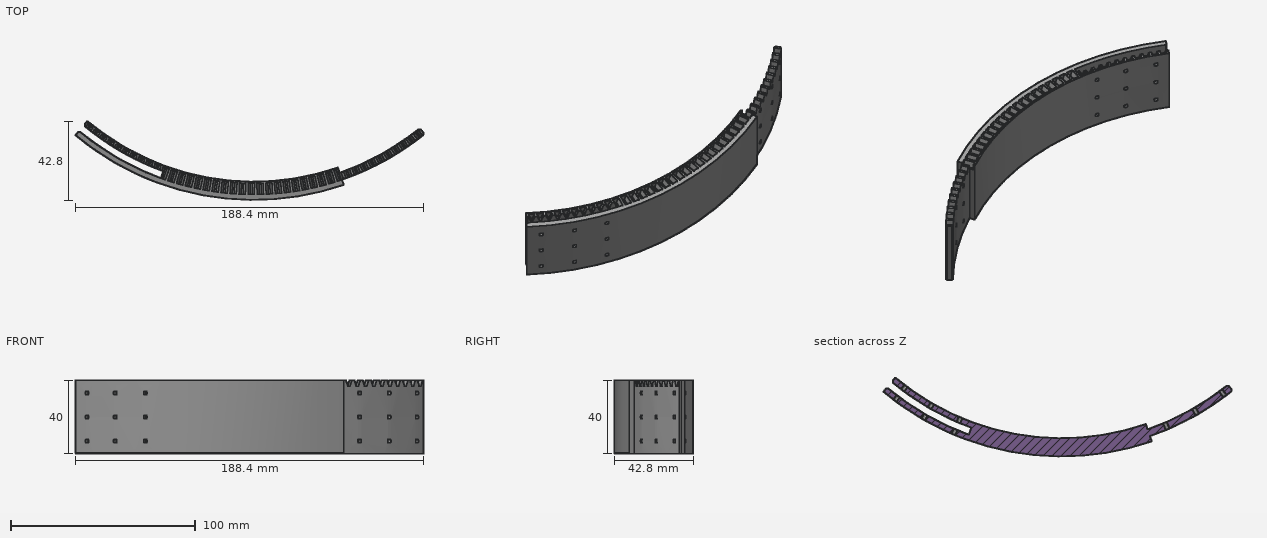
import cadquery as cq
import math

height = 40.0
outer_radius = 150.0
plate_thickness = 3.0
tongue_thickness = 4.0
flange_thickness = 3.0
skin_thickness = 1.0

plate_inner_radius = outer_radius - plate_thickness
tongue_inner_radius = plate_inner_radius - tongue_thickness
inner_radius = tongue_inner_radius - flange_thickness
skin_outer_radius = inner_radius + skin_thickness

groove_end_angle = -40.0
groove_floor_angle = -20.0
shoulder_angle = 19.0
tongue_end_angle = 39.0

mouth_chamfer = 0.8
bottom_chamfer = 0.5

notch_count = 41
notches_per_turn = 188
rack_module = 1.5
pressure_angle = 20.0
addendum_factor = 1.0
dedendum_factor = 1.25
notch_pitch_angle = 360 / notches_per_turn
notch_middle_angle = (groove_end_angle + tongue_end_angle) / 2
rack_pitch = skin_outer_radius * math.radians(notch_pitch_angle)
flank_slope = math.tan(math.radians(pressure_angle))
notch_depth = (addendum_factor + dedendum_factor) * rack_module
notch_top_width = rack_pitch / 2 + 2 * addendum_factor * rack_module * flank_slope
notch_floor_width = notch_top_width - 2 * notch_depth * flank_slope

hole_diameter = 2.0
hole_overrun = 1.9
hole_row_spacing = 13.0
hole_middle_angle = 30.0
hole_angle_step = 7.0


def polar(radius, angle):
    """Point at a radius and at an angle measured from -Y toward +X."""
    turn = math.radians(angle)
    return (radius * math.sin(turn), -radius * math.cos(turn))


def ring_sector(radius_in, radius_out, start, end):
    """Full-height piece of a ring between two radii and two angles."""
    middle = (start + end) / 2
    return (
        cq.Workplane("XY")
        .moveTo(*polar(radius_out, start))
        .threePointArc(polar(radius_out, middle), polar(radius_out, end))
        .lineTo(*polar(radius_in, end))
        .threePointArc(polar(radius_in, middle), polar(radius_in, start))
        .close()
        .extrude(height)
    )


def notch_cutter(angle):
    """Radial prism with a trapezoid section that opens at the top face."""
    floor_z = height - notch_depth
    return (
        cq.Workplane("XZ")
        .polyline([
            (-notch_top_width / 2, height),
            (-notch_floor_width / 2, floor_z),
            (notch_floor_width / 2, floor_z),
            (notch_top_width / 2, height),
        ])
        .close()
        .extrude(outer_radius)
        .rotate((0, 0, 0), (0, 0, 1), angle)
    )


def hole_column(angle):
    """Three radial pins, one above the other, reaching past the outer face."""
    middle_z = height / 2
    return (
        cq.Workplane("XZ")
        .pushPoints([(0, middle_z + row * hole_row_spacing) for row in (-1, 0, 1)])
        .circle(hole_diameter / 2)
        .extrude(outer_radius + hole_overrun)
        .rotate((0, 0, 0), (0, 0, 1), angle)
    )


def chamfer_upright_edge(piece, radius, angle):
    """Bevel the vertical edge of a piece at a radius and angle."""
    selector = cq.selectors.NearestToPointSelector((*polar(radius, angle), height / 2))
    return piece.edges(selector).chamfer(mouth_chamfer)


def chamfer_bottom_arc(piece, radius):
    """Bevel the bottom edge of a plate-length piece that follows a radius."""
    middle = (groove_end_angle + shoulder_angle) / 2
    selector = cq.selectors.NearestToPointSelector((*polar(radius, middle), 0))
    return piece.edges(selector).chamfer(bottom_chamfer)


plate = ring_sector(plate_inner_radius, outer_radius, groove_end_angle, shoulder_angle)
plate = chamfer_bottom_arc(plate, outer_radius)
plate = chamfer_upright_edge(plate, plate_inner_radius, groove_end_angle)

flange = ring_sector(inner_radius, tongue_inner_radius, groove_end_angle, shoulder_angle)
flange = chamfer_bottom_arc(flange, inner_radius)
flange = chamfer_upright_edge(flange, tongue_inner_radius, groove_end_angle)

tongue = ring_sector(tongue_inner_radius, plate_inner_radius, groove_floor_angle, tongue_end_angle)
tongue = chamfer_upright_edge(tongue, plate_inner_radius, tongue_end_angle)
tongue = chamfer_upright_edge(tongue, tongue_inner_radius, tongue_end_angle)

result = plate.union(flange).union(tongue)

notch_band = ring_sector(skin_outer_radius, plate_inner_radius, groove_end_angle, tongue_end_angle)
for index in range(notch_count):
    angle = notch_middle_angle + (index - (notch_count - 1) / 2) * notch_pitch_angle
    cutter = notch_cutter(angle)
    result = result.cut(cutter.intersect(notch_band))

for side in (-1, 1):
    for step in (-1, 0, 1):
        result = result.cut(hole_column(side * hole_middle_angle + step * hole_angle_step))